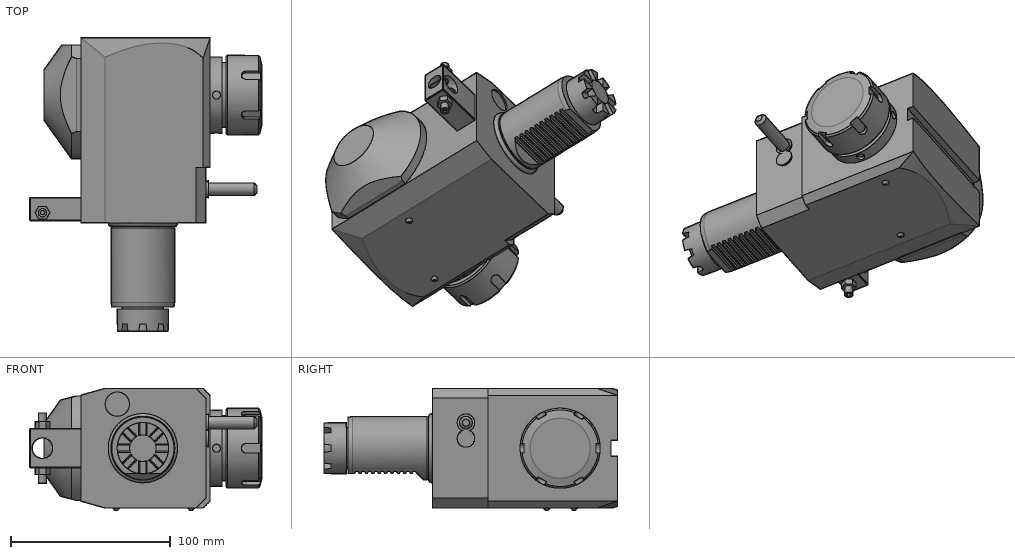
import cadquery as cq
import math


HOUSING_LEFT = -38.8
HOUSING_RIGHT = 42.2
HOUSING_LENGTH = 116.0
HALF_HEIGHT = 37.5
LEFT_CHAMFER_WIDTH = 15.0
LEFT_CHAMFER_DROP = 4.2
RIGHT_CHAMFER = 4.5
STEP_LENGTH = 34.75
STEP_DEPTH = 2.75
STEP_CHAMFER = 6.2

ARCH_APEX = (24.2, 64.4, 51.0)
ARCH_CROWN_POINTS = [(-17.6, 35.2), (11.0, 36.55), (29.2, 35.55)]
ARCH_CUT_TOP = 45.0
ARCH_OUTER_SCALE = 1.03
ARCH_INNER_SCALE = 0.6

KEYWAY_WIDTH = 9.9
KEYWAY_DEPTH = 4.1
PLUG_X, PLUG_Z = -16.0, 27.6
PLUG_DIAMETER = 15.2
PLUG_DEPTH = 1.0

TIP_POSITIONS = [(-16.8, 71.6), (30.2, 88.7)]
TIP_BASE_RADIUS = 2.2
TIP_END_RADIUS = 0.7
TIP_HEIGHT = 1.6

SPINDLE_Y = 80.0
CAP_RADIUS = 40.0
CAP_END_RADIUS = 15.8
CAP_SHOULDER_X = -44.7
CAP_END_X = -62.0
CAP_REAR_Y = 111.4
CAP_HALF_HEIGHT = 32.8
CAP_SLOPE_START_X = -41.5
CAP_SLOPE_ANGLE = 14.4

COLLAR_RADIUS = 24.0
COLLAR_END_X = 49.6
NECK_RADIUS = 20.5
NUT_START_X = 52.0
NUT_RADIUS = 25.1
NUT_START_CHAMFER = 1.0
NUT_RIM_X = 72.3
NUT_RIM_RADIUS = 24.0
NUT_FACE_EDGE_X = 73.4
NUT_FACE_RADIUS = 18.8
NUT_END_X = 74.6
NUT_SLOT_COUNT = 6
NUT_SLOT_WIDTH = 6.0
NUT_SLOT_START_X = 61.7
NUT_SLOT_FLOOR_RADIUS = 22.5
COLLAR_HOLE_COUNT = 4
COLLAR_HOLE_X = 46.1
COLLAR_HOLE_DIAMETER = 5.0
COLLAR_HOLE_DEPTH = 2.0

SHANK_RADIUS = 20.0
SHANK_END_Y = -52.9
SHANK_CHAMFER_LENGTH = 2.9
SHANK_END_RADIUS = 19.5
FLANGE_RADIUS = 21.7
FLANGE_THICKNESS = 2.4
FLANGE_FILLET = 2.0
RELIEF_RADIUS = 19.6
RELIEF_END_Y = -3.4
FLAT_Z = -16.0
FLAT_RAMP_Y = -5.5
TOOTH_PITCH = 4.0
GROOVE_COUNT = 10
FIRST_GROOVE_Y = -11.3
GROOVE_DEPTH = 1.3
GROOVE_MOUTH = 3.0
GROOVE_FLOOR = 1.7

DOG_NECK_RADIUS = 13.0
DOG_RADIUS = 16.1
DOG_START_Y = -53.9
DOG_END_Y = -68.0
DOG_HUB_RADIUS = 8.3
DOG_SLOT_COUNT = 8
DOG_SLOT_DEPTH = 4.6
DOG_SLOT_FLOOR_WIDTH = 3.8
DOG_SLOT_MOUTH_WIDTH = 5.4

BLOCK_LEFT = -71.0
BLOCK_FRONT_Y = 1.1
BLOCK_REAR_Y = 15.9
BLOCK_HALF_HEIGHT = 12.4
BLOCK_CHAMFER = 0.5
BLOCK_BORE_X = -62.9
BLOCK_BORE_DIAMETER = 12.8
INLET_Y = 8.0
INLET_DIAMETER = 9.8
INLET_END_X = -52.0
PASSAGE_DIAMETER = 2.8
PASSAGE_LENGTH = 2.0
SCREW_Y = 6.3
SCREW_DIAMETER = 5.2
SCREW_PORT_DIAMETER = 4.4
SCREW_PORT_LENGTH = 0.7
SCREW_TOP_Z = 22.1
NUT_ACROSS_FLATS = 8.0
NUT_TOP_Z = 16.6
SOCKET_ACROSS_FLATS = 2.5
SOCKET_DEPTH = 2.0

PIN_Y, PIN_Z = 21.0, 16.0
PIN_RADIUS = 4.0
PIN_END_X = 71.5
PIN_CHAMFER_LENGTH = 1.8
SEAT_CENTRES_Z = [PIN_Z, 6.1]
SEAT_BASE_RADIUS = 4.9
SEAT_LIP_RADIUS = 5.5
SEAT_HEIGHT = 1.6

STEP_FACE_X = HOUSING_RIGHT - STEP_DEPTH
EMBED = 2.0


def mirrored_pair(solid):
    """Return the solid together with its mirror image below the XY plane."""
    return solid.union(solid.mirror("XY"))


def turned_on_y(profile):
    """Revolve (y, radius) points around the shank axis."""
    points = [(radius, y) for y, radius in profile]
    return cq.Workplane("XY").polyline(points).close().revolve(360, (0, 0), (0, 1))


def turned_on_x(profile, y=0.0, z=0.0):
    """Revolve (x, radius) points around a line parallel to X."""
    solid = cq.Workplane("XY").polyline(profile).close().revolve(360, (0, 0), (1, 0))
    return solid.translate((0, y, z))


def cylinder_on_x(start, end, diameter, y, z=0.0):
    return cq.Workplane("YZ", origin=(start, y, z)).circle(diameter / 2).extrude(end - start)


def housing_section(right, right_chamfer):
    """Eight-cornered outline in the XZ plane, symmetric about Z = 0."""
    upper = [
        (HOUSING_LEFT, HALF_HEIGHT - LEFT_CHAMFER_DROP),
        (HOUSING_LEFT + LEFT_CHAMFER_WIDTH, HALF_HEIGHT),
        (right - right_chamfer, HALF_HEIGHT),
        (right, HALF_HEIGHT - right_chamfer),
    ]
    lower = [(x, -z) for x, z in reversed(upper)]
    return cq.Workplane("XZ").polyline(upper + lower).close()


def arch_wire(scale):
    """Outline of the rear cut, scaled about the apex of the arch cone."""
    apex_x, apex_y, apex_z = ARCH_APEX

    def scaled(x, z):
        return cq.Vector(
            apex_x + (x - apex_x) * scale,
            apex_y + (HOUSING_LENGTH - apex_y) * scale,
            apex_z + (z - apex_z) * scale,
        )

    left = scaled(HOUSING_LEFT, HALF_HEIGHT - LEFT_CHAMFER_DROP)
    right = scaled(HOUSING_RIGHT, HALF_HEIGHT - RIGHT_CHAMFER)
    top_left = scaled(HOUSING_LEFT, ARCH_CUT_TOP)
    top_right = scaled(HOUSING_RIGHT, ARCH_CUT_TOP)
    crown = [scaled(x, z) for x, z in ARCH_CROWN_POINTS]
    edges = [
        cq.Edge.makeSpline([left] + crown + [right]),
        cq.Edge.makeLine(right, top_right),
        cq.Edge.makeLine(top_right, top_left),
        cq.Edge.makeLine(top_left, left),
    ]
    return cq.Wire.assembleEdges(edges)


def housing():
    front = housing_section(STEP_FACE_X, STEP_CHAMFER).extrude(-STEP_LENGTH)
    rear = housing_section(HOUSING_RIGHT, RIGHT_CHAMFER).extrude(-(HOUSING_LENGTH - STEP_LENGTH))
    body = front.union(rear.translate((0, STEP_LENGTH, 0)))

    arch_cut = cq.Solid.makeLoft([arch_wire(ARCH_OUTER_SCALE), arch_wire(ARCH_INNER_SCALE)], True)
    body = body.cut(mirrored_pair(cq.Workplane(obj=arch_cut)))

    keyway = cq.Workplane("XY").box(
        2 * (HOUSING_RIGHT - HOUSING_LEFT), 2 * KEYWAY_DEPTH, KEYWAY_WIDTH
    )
    body = body.cut(keyway.translate((0, HOUSING_LENGTH, 0)))

    plug_recess = cq.Workplane("XZ", origin=(PLUG_X, 0, PLUG_Z)).circle(PLUG_DIAMETER / 2)
    return body.cut(plug_recess.extrude(-PLUG_DEPTH))


def bottom_tips():
    profile = [
        (0, -HALF_HEIGHT + EMBED),
        (TIP_BASE_RADIUS, -HALF_HEIGHT + EMBED),
        (TIP_BASE_RADIUS, -HALF_HEIGHT),
        (TIP_END_RADIUS, -HALF_HEIGHT - TIP_HEIGHT),
        (0, -HALF_HEIGHT - TIP_HEIGHT),
    ]
    tip = cq.Workplane("XZ").polyline(profile).close().revolve(360, (0, 0), (0, 1))
    tips = cq.Workplane("XY")
    for x, y in TIP_POSITIONS:
        tips = tips.union(tip.translate((x, y, 0)))
    return tips


def spindle_cap():
    inner_x = HOUSING_LEFT + EMBED
    cap = turned_on_x(
        [
            (inner_x, 0),
            (inner_x, CAP_RADIUS),
            (CAP_SHOULDER_X, CAP_RADIUS),
            (CAP_END_X, CAP_END_RADIUS),
            (CAP_END_X, 0),
        ],
        y=SPINDLE_Y,
    )
    slope_drop = (CAP_SLOPE_START_X - CAP_END_X) * math.tan(math.radians(CAP_SLOPE_ANGLE))
    upper = [
        (inner_x, CAP_HALF_HEIGHT),
        (CAP_SLOPE_START_X, CAP_HALF_HEIGHT),
        (CAP_END_X, CAP_HALF_HEIGHT - slope_drop),
    ]
    lower = [(x, -z) for x, z in reversed(upper)]
    envelope = cq.Workplane("XZ", origin=(0, CAP_REAR_Y, 0)).polyline(upper + lower).close()
    return cap.intersect(envelope.extrude(2 * CAP_RADIUS))


def collet_nut():
    inner_x = HOUSING_RIGHT - EMBED
    nut = turned_on_x(
        [
            (inner_x, 0),
            (inner_x, COLLAR_RADIUS),
            (COLLAR_END_X, COLLAR_RADIUS),
            (COLLAR_END_X, NECK_RADIUS),
            (NUT_START_X, NECK_RADIUS),
            (NUT_START_X, NUT_RADIUS - NUT_START_CHAMFER),
            (NUT_START_X + NUT_START_CHAMFER, NUT_RADIUS),
            (NUT_RIM_X, NUT_RADIUS),
            (NUT_FACE_EDGE_X, NUT_RIM_RADIUS),
            (NUT_END_X, NUT_FACE_RADIUS),
            (NUT_END_X, 0),
        ]
    )
    slot_centre_x = NUT_SLOT_START_X + NUT_SLOT_WIDTH / 2
    slot_plane = cq.Workplane("XZ", origin=(0, -NUT_SLOT_FLOOR_RADIUS, 0))
    slot_end = slot_plane.center(slot_centre_x, 0).circle(NUT_SLOT_WIDTH / 2).extrude(NUT_RADIUS)
    slot_run_length = NUT_END_X - slot_centre_x
    slot_run = slot_plane.center(slot_centre_x + slot_run_length / 2, 0)
    slot = slot_end.union(slot_run.rect(slot_run_length, NUT_SLOT_WIDTH).extrude(NUT_RADIUS))
    for index in range(NUT_SLOT_COUNT):
        nut = nut.cut(slot.rotate((0, 0, 0), (1, 0, 0), index * 360 / NUT_SLOT_COUNT))

    hole_floor_y = -(COLLAR_RADIUS - COLLAR_HOLE_DEPTH)
    hole = cq.Workplane("XZ", origin=(COLLAR_HOLE_X, hole_floor_y, 0)).circle(COLLAR_HOLE_DIAMETER / 2)
    hole = hole.extrude(COLLAR_RADIUS)
    for index in range(COLLAR_HOLE_COUNT):
        nut = nut.cut(hole.rotate((0, 0, 0), (1, 0, 0), index * 360 / COLLAR_HOLE_COUNT))
    return nut.translate((0, SPINDLE_Y, 0))


def shank():
    body = turned_on_y(
        [
            (EMBED, 0),
            (EMBED, RELIEF_RADIUS),
            (RELIEF_END_Y, RELIEF_RADIUS),
            (RELIEF_END_Y, SHANK_RADIUS),
            (SHANK_END_Y + SHANK_CHAMFER_LENGTH, SHANK_RADIUS),
            (SHANK_END_Y, SHANK_END_RADIUS),
            (SHANK_END_Y, 0),
        ]
    )
    flange = cq.Workplane("XZ").circle(FLANGE_RADIUS).extrude(FLANGE_THICKNESS)
    body = body.union(flange.faces("<Y").edges().fillet(FLANGE_FILLET))

    ramp_length = SHANK_RADIUS + FLAT_Z
    flat_cut = [
        (FLAT_RAMP_Y, -SHANK_RADIUS),
        (FLAT_RAMP_Y - ramp_length, FLAT_Z),
        (SHANK_END_Y, FLAT_Z),
        (SHANK_END_Y, -SHANK_RADIUS),
    ]
    body = body.cut(across_shank(flat_cut))
    for index in range(GROOVE_COUNT):
        centre_y = FIRST_GROOVE_Y - index * TOOTH_PITCH
        groove = [
            (centre_y + GROOVE_MOUTH / 2, FLAT_Z),
            (centre_y + GROOVE_FLOOR / 2, FLAT_Z + GROOVE_DEPTH),
            (centre_y - GROOVE_FLOOR / 2, FLAT_Z + GROOVE_DEPTH),
            (centre_y - GROOVE_MOUTH / 2, FLAT_Z),
            (centre_y, -SHANK_RADIUS),
        ]
        body = body.cut(across_shank(groove))
    return body


def across_shank(outline):
    """Prism along X from (y, z) points, wide enough to cross the whole shank."""
    return cq.Workplane("YZ").polyline(outline).close().extrude(2 * SHANK_RADIUS, both=True)


def drive_dog():
    dog = turned_on_y(
        [
            (SHANK_END_Y + EMBED, 0),
            (SHANK_END_Y + EMBED, DOG_NECK_RADIUS),
            (DOG_START_Y, DOG_NECK_RADIUS),
            (DOG_START_Y, DOG_RADIUS),
            (DOG_END_Y, DOG_RADIUS),
            (DOG_END_Y, 0),
        ]
    )
    floor_y = DOG_END_Y + DOG_SLOT_DEPTH
    slot_outline = [
        (-DOG_SLOT_FLOOR_WIDTH / 2, floor_y),
        (DOG_SLOT_FLOOR_WIDTH / 2, floor_y),
        (DOG_SLOT_MOUTH_WIDTH / 2, DOG_END_Y),
        (-DOG_SLOT_MOUTH_WIDTH / 2, DOG_END_Y),
    ]
    slot = cq.Workplane("XY").polyline(slot_outline).close().extrude(2 * DOG_RADIUS)
    hub = cq.Workplane("XZ", origin=(0, floor_y, 0)).circle(DOG_HUB_RADIUS).extrude(DOG_SLOT_DEPTH)
    slot = slot.cut(hub)
    for index in range(DOG_SLOT_COUNT):
        dog = dog.cut(slot.rotate((0, 0, 0), (0, 1, 0), index * 360 / DOG_SLOT_COUNT))
    return dog


def coolant_block():
    right = HOUSING_LEFT + EMBED
    block = cq.Workplane("XY").box(
        right - BLOCK_LEFT, BLOCK_REAR_Y - BLOCK_FRONT_Y, 2 * BLOCK_HALF_HEIGHT, centered=(False, False, True)
    )
    block = block.translate((BLOCK_LEFT, BLOCK_FRONT_Y, 0))
    block = block.edges("|X or <X").chamfer(BLOCK_CHAMFER)

    bore = cq.Workplane("XZ", origin=(BLOCK_BORE_X, BLOCK_REAR_Y, 0)).circle(BLOCK_BORE_DIAMETER / 2)
    block = block.cut(bore.extrude(BLOCK_REAR_Y - BLOCK_FRONT_Y))
    block = block.cut(cylinder_on_x(BLOCK_LEFT, INLET_END_X, INLET_DIAMETER, INLET_Y))
    passage_end_x = INLET_END_X + PASSAGE_LENGTH
    block = block.cut(cylinder_on_x(INLET_END_X, passage_end_x, PASSAGE_DIAMETER, INLET_Y))
    screw_port = cq.Workplane("XY", origin=(BLOCK_BORE_X, SCREW_Y, 0)).circle(SCREW_PORT_DIAMETER / 2)
    block = block.cut(screw_port.extrude(BLOCK_HALF_HEIGHT, both=True))
    return block.union(mirrored_pair(block_screw()))


def block_screw():
    """Set screw with a locking nut, standing on the top of the coolant block."""

    def prism(plane_z):
        return cq.Workplane("XY", origin=(BLOCK_BORE_X, SCREW_Y, plane_z))

    corner_factor = 1 / math.cos(math.radians(30))
    seat_z = BLOCK_BORE_DIAMETER / 2 + SCREW_PORT_LENGTH
    screw = prism(seat_z).circle(SCREW_DIAMETER / 2).extrude(SCREW_TOP_Z - seat_z)
    nut = prism(BLOCK_HALF_HEIGHT).polygon(6, NUT_ACROSS_FLATS * corner_factor)
    nut = nut.extrude(NUT_TOP_Z - BLOCK_HALF_HEIGHT)
    socket = prism(SCREW_TOP_Z - SOCKET_DEPTH).polygon(6, SOCKET_ACROSS_FLATS * corner_factor)
    return screw.union(nut).cut(socket.extrude(SOCKET_DEPTH))


def stop_pin():
    inner_x = STEP_FACE_X - EMBED
    pieces = turned_on_x(
        [
            (inner_x, 0),
            (inner_x, PIN_RADIUS),
            (PIN_END_X - PIN_CHAMFER_LENGTH, PIN_RADIUS),
            (PIN_END_X, PIN_RADIUS - PIN_CHAMFER_LENGTH),
            (PIN_END_X, 0),
        ],
        PIN_Y,
        PIN_Z,
    )
    seat = [
        (inner_x, 0),
        (inner_x, SEAT_BASE_RADIUS),
        (STEP_FACE_X, SEAT_BASE_RADIUS),
        (STEP_FACE_X + SEAT_HEIGHT, SEAT_LIP_RADIUS),
        (STEP_FACE_X + SEAT_HEIGHT, 0),
    ]
    for centre_z in SEAT_CENTRES_Z:
        pieces = pieces.union(turned_on_x(seat, PIN_Y, centre_z))
    return pieces


result = (
    housing()
    .union(bottom_tips())
    .union(spindle_cap())
    .union(collet_nut())
    .union(shank())
    .union(drive_dog())
    .union(coolant_block())
    .union(stop_pin())
)